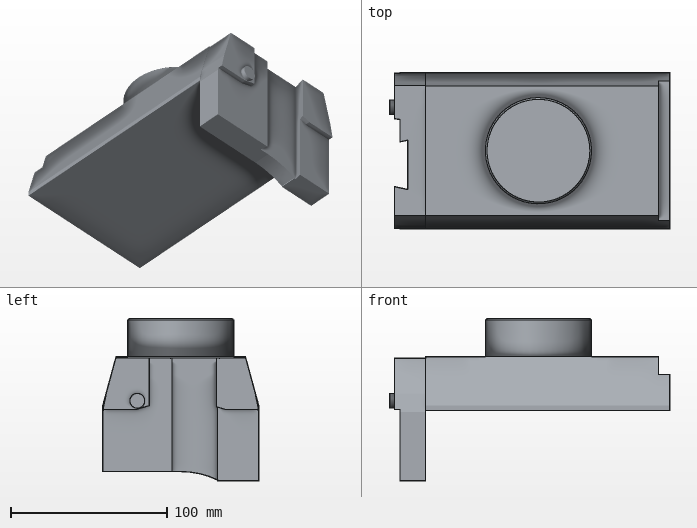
import cadquery as cq
import math

rear_x = 179.2
lip_front_x = 3.0
plate_front_x = 6.5
slot_floor_x = 11.5
body_front_x = 23.0

body_bottom_z = 45.0
body_shoulder_z = 48.0
body_top_z = 79.5
body_half_width = 50.0
body_top_half_width = 41.4
notch_length = 7.2
notch_floor_z = 68.1

knob_x = 95.2
knob_diameter = 68.0
knob_top_z = 104.0
knob_chamfer = 1.0

plate_half_width = 50.0
head_bottom_z = 44.0
head_bend_z = 55.7
head_bend_half_width = 47.7
head_top_z = 78.5
head_top_half_width = 41.5
lip_bottom_z = 45.7
lip_arch_radius = 89.6
lip_arch_half_span = 28.7

plate_bottom_z = 6.0
curve_end_z = 0.5

step_front_y = 20.5
step_back_y = 19.9
slot_left_front_y = 5.5
slot_left_floor_y = 6.6
slot_right_front_y = -23.0
slot_right_floor_y = -24.7

button_diameter = 9.5
button_y = 27.8
button_z = 51.3


def extrude_along_x(profile, start_x, end_x):
    """Place a closed YZ profile at start_x and extrude it to end_x."""
    return profile.extrude(end_x - start_x).translate((start_x, 0, 0))


def mirrored_profile(right_side):
    """Close a YZ outline from its (half width, z) points, listed upwards."""
    left_side = [(-y, z) for y, z in reversed(right_side)]
    return cq.Workplane("YZ").polyline(right_side + left_side).close()


def make_body():
    profile = mirrored_profile([
        (body_half_width, body_bottom_z),
        (body_half_width, body_shoulder_z),
        (body_top_half_width, body_top_z),
    ])
    body = extrude_along_x(profile, body_front_x, rear_x)
    notch = cq.Workplane("XY").box(
        notch_length, 2 * body_half_width, body_top_z - notch_floor_z, centered=(False, True, False)
    ).translate((rear_x - notch_length, 0, notch_floor_z))
    return body.cut(notch)


def make_knob():
    knob = cq.Workplane("XY", origin=(knob_x, 0, body_top_z)).circle(knob_diameter / 2)
    return knob.extrude(knob_top_z - body_top_z).faces(">Z").chamfer(knob_chamfer)


def make_head():
    profile = mirrored_profile([
        (plate_half_width, head_bottom_z),
        (head_bend_half_width, head_bend_z),
        (head_top_half_width, head_top_z),
    ])
    return extrude_along_x(profile, lip_front_x, body_front_x)


def make_lip_relief():
    """Space in front of the plate, below the arched lower edge of the lips."""
    arch_center_z = lip_bottom_z - math.sqrt(lip_arch_radius**2 - lip_arch_half_span**2)
    profile = (
        cq.Workplane("YZ")
        .moveTo(-plate_half_width, 0)
        .lineTo(plate_half_width, 0)
        .lineTo(plate_half_width, lip_bottom_z)
        .lineTo(lip_arch_half_span, lip_bottom_z)
        .threePointArc((0, arch_center_z + lip_arch_radius), (-lip_arch_half_span, lip_bottom_z))
        .lineTo(-plate_half_width, lip_bottom_z)
        .close()
    )
    return extrude_along_x(profile, lip_front_x, plate_front_x)


def slot_right_wall_y(x):
    """Y of the slanted right slot wall at a given depth."""
    depth_fraction = (x - lip_front_x) / (slot_floor_x - lip_front_x)
    return slot_right_front_y + depth_fraction * (slot_right_floor_y - slot_right_front_y)


def make_plate():
    curve_end_y = slot_right_wall_y(plate_front_x)
    drop = plate_bottom_z - curve_end_z
    curve_radius = (curve_end_y**2 + drop**2) / (2 * drop)
    middle_y = curve_end_y / 2
    middle_z = plate_bottom_z - curve_radius + math.sqrt(curve_radius**2 - middle_y**2)
    profile = (
        cq.Workplane("YZ")
        .moveTo(plate_half_width, head_bottom_z)
        .lineTo(plate_half_width, plate_bottom_z)
        .lineTo(0, plate_bottom_z)
        .threePointArc((middle_y, middle_z), (curve_end_y, curve_end_z))
        .lineTo(curve_end_y, 0)
        .lineTo(-plate_half_width, 0)
        .lineTo(-plate_half_width, head_bottom_z)
        .close()
    )
    return extrude_along_x(profile, plate_front_x, body_front_x)


def make_front_slot():
    """Full-height cut: shallow step beside an undercut slot."""
    return (
        cq.Workplane("XY")
        .polyline([
            (lip_front_x, step_front_y),
            (plate_front_x, step_back_y),
            (plate_front_x, slot_left_front_y),
            (slot_floor_x, slot_left_floor_y),
            (slot_floor_x, slot_right_floor_y),
            (lip_front_x, slot_right_front_y),
        ])
        .close()
        .extrude(head_top_z)
    )


def make_button():
    profile = cq.Workplane("YZ").center(button_y, button_z).circle(button_diameter / 2)
    return extrude_along_x(profile, 0, plate_front_x)


front_block = make_head().cut(make_lip_relief()).union(make_plate()).cut(make_front_slot())
result = make_body().union(make_knob()).union(front_block).union(make_button())